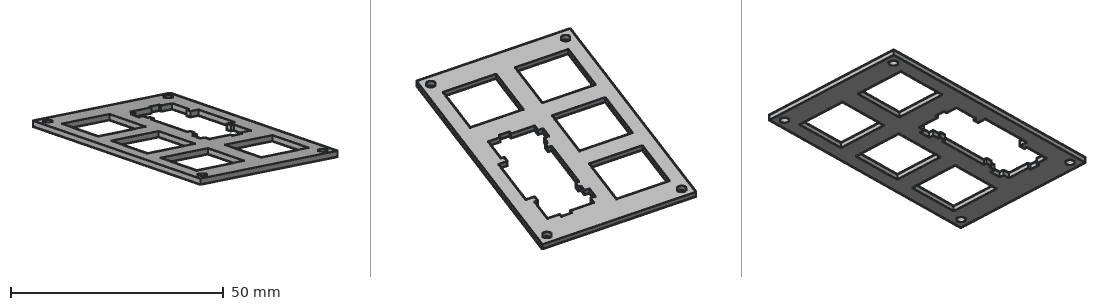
import cadquery as cq

length = 64.8
width = 40.6
thickness = 1.5

hole_diameter = 2.2
hole_inset = 2.5

key_pitch = 19.05
key_size = 14.0
row_y = key_pitch / 2
wide_key_x = -key_pitch / 2

pocket_inner = 8.6
pocket_outer = 15.2
pocket_top = 5.5
pocket_bottom = -6.75
bridge_top = 4.65
bridge_bottom = -6.1
foot_center = 11.9
foot_width = 3.05
foot_bottom = -8.0
notch_outer = 16.05
notch_top = 2.25
notch_bottom = -0.5


def cutter(left, right, bottom, top):
    """Block through the whole plate between the given sides."""
    return (
        cq.Workplane("XY")
        .box(right - left, top - bottom, thickness, centered=False)
        .translate((left, bottom, 0))
    )


def key_cutter(x, y):
    half = key_size / 2
    return cutter(x - half, x + half, y - half, y + half)


def stabilizer_cutter():
    """Bridge, side notches, two pockets and their feet, centred on the key."""
    cut = cutter(-pocket_outer, pocket_outer, bridge_bottom, bridge_top)
    cut = cut.union(cutter(-notch_outer, notch_outer, notch_bottom, notch_top))
    for side in (-1, 1):
        pocket_x = sorted((side * pocket_inner, side * pocket_outer))
        cut = cut.union(cutter(*pocket_x, pocket_bottom, pocket_top))
        foot_x = side * foot_center
        foot_left = foot_x - foot_width / 2
        foot_right = foot_x + foot_width / 2
        cut = cut.union(cutter(foot_left, foot_right, foot_bottom, bridge_bottom))
    return cut


plate = cq.Workplane("XY").box(length, width, thickness, centered=(True, True, False))

plate = (
    plate.faces(">Z").workplane()
    .rect(length - 2 * hole_inset, width - 2 * hole_inset, forConstruction=True)
    .vertices()
    .hole(hole_diameter)
)

key_centers = [(column * key_pitch, -row_y) for column in (-1, 0, 1)]
key_centers += [(wide_key_x, row_y), (key_pitch, row_y)]
for key_x, key_y in key_centers:
    plate = plate.cut(key_cutter(key_x, key_y))

result = plate.cut(stabilizer_cutter().translate((wide_key_x, row_y, 0)))